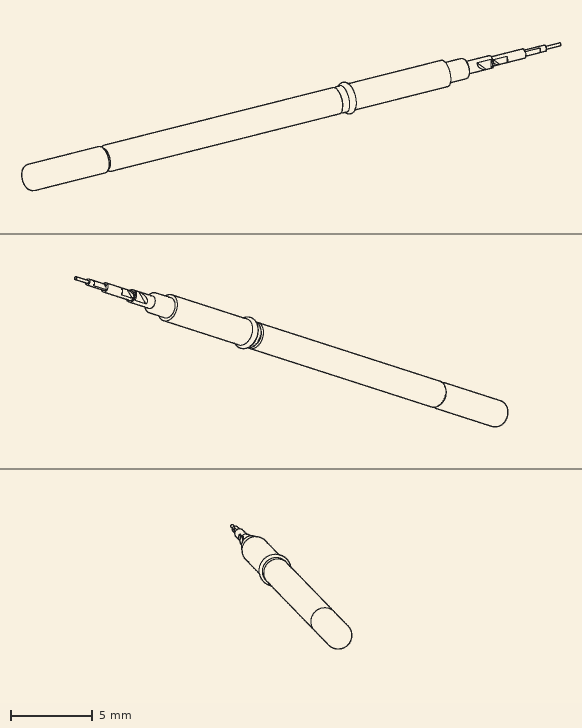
import cadquery as cq
import math

LENGTH = 37.0

BODY_R = 0.84
COLLAR_R = 1.0
FOOT_ROUND = 0.45
LOWER_GROOVE_Y = 5.5
UPPER_GROOVE_Y = 21.57
GROOVE_DEPTH = 0.18
GROOVE_LIP = 0.18
GROOVE_FLOOR = 0.1
COLLAR_BACK = 22.0
COLLAR_FRONT = 22.46
BODY_FRONT = 29.0

NECK_R = 0.65
NECK_FRONT = 30.48
NECK_ROUND = 0.2

COARSE_STEP = (0.40, NECK_FRONT, 32.2)
MIDDLE_STEP = (0.30, COARSE_STEP[2], 34.48)
FINE_STEP = (0.20, MIDDLE_STEP[2], 35.95)
POINT_STEP = (0.10, FINE_STEP[2], LENGTH)
TIP_STEPS = [COARSE_STEP, MIDDLE_STEP, FINE_STEP, POINT_STEP]

FLUTES = [
    (COARSE_STEP, 0.24, 31.45, 32.10),
    (MIDDLE_STEP, 0.20, 32.50, 33.22),
    (FINE_STEP, 0.11, FINE_STEP[1], 35.55),
]
FLUTE_RAMP = 0.15
FLUTE_SKEW = -45.0


def rolled_groove(outline, y, square_back):
    """Continue the outline across a groove with a convex front lip and a square or convex back lip."""
    bulge = math.sqrt(0.5)
    bottom_r = BODY_R - GROOVE_DEPTH
    mid_r = bottom_r + GROOVE_DEPTH * bulge
    mid_offset = GROOVE_LIP * (1 - bulge)
    floor_back = y - GROOVE_FLOOR / 2
    floor_front = y + GROOVE_FLOOR / 2
    if square_back:
        outline = outline.lineTo(BODY_R, floor_back).lineTo(bottom_r, floor_back)
    else:
        outline = (
            outline.lineTo(BODY_R, floor_back - GROOVE_LIP)
            .threePointArc((mid_r, floor_back - mid_offset), (bottom_r, floor_back))
        )
    return (
        outline.lineTo(bottom_r, floor_front)
        .threePointArc((mid_r, floor_front + mid_offset), (BODY_R, floor_front + GROOVE_LIP))
    )


def turned_pin():
    """Revolve the half outline of the barrel, collar, neck and stepped tip about Y."""
    collar_mid = (COLLAR_BACK + COLLAR_FRONT) / 2
    foot_bend = FOOT_ROUND * math.sqrt(0.5)
    foot_centre_r = BODY_R - FOOT_ROUND
    neck_bend = NECK_ROUND * math.sqrt(0.5)
    neck_flat_r = NECK_R - NECK_ROUND
    neck_round_y = NECK_FRONT - NECK_ROUND

    outline = (
        cq.Workplane("ZY")
        .lineTo(foot_centre_r, 0)
        .threePointArc((foot_centre_r + foot_bend, FOOT_ROUND - foot_bend), (BODY_R, FOOT_ROUND))
    )
    outline = rolled_groove(outline, LOWER_GROOVE_Y, square_back=False)
    outline = rolled_groove(outline, UPPER_GROOVE_Y, square_back=True)
    outline = (
        outline.lineTo(BODY_R, COLLAR_BACK)
        .threePointArc((COLLAR_R, collar_mid), (BODY_R, COLLAR_FRONT))
        .lineTo(BODY_R, BODY_FRONT)
        .lineTo(NECK_R, BODY_FRONT)
        .lineTo(NECK_R, neck_round_y)
        .threePointArc((neck_flat_r + neck_bend, neck_round_y + neck_bend), (neck_flat_r, NECK_FRONT))
    )
    for radius, back_y, front_y in TIP_STEPS:
        outline = outline.lineTo(radius, back_y).lineTo(radius, front_y)
    return outline.lineTo(0, LENGTH).close().revolve(360, (0, 0, 0), (0, 1, 0))


def flute_cutter(step, web, back_y, front_y):
    """Flat-floored cutter on the -X side with a leaning, ramped back end and a square front end."""
    radius, step_back_y, _ = step
    reach = 2 * radius
    ramp = FLUTE_RAMP * (reach - web) / (radius - web)
    over_y = front_y + 2 * reach
    trough = (
        cq.Workplane("XY")
        .polyline([(-web, back_y), (-web, over_y), (-reach, over_y), (-reach, back_y - ramp)])
        .close()
        .extrude(over_y - back_y, both=True)
        .rotate((0, back_y, 0), (1, back_y, 0), FLUTE_SKEW)
    )
    keep_back_y = max(step_back_y, back_y - reach)
    keep = cq.Workplane("XY").box(2 * reach, front_y - keep_back_y, 2 * reach)
    return trough.intersect(keep.translate((0, (front_y + keep_back_y) / 2, 0)))


def cut_flutes(pin):
    """Cut each flute twice, half a turn apart about Y."""
    for flute in FLUTES:
        cutter = flute_cutter(*flute)
        pin = pin.cut(cutter).cut(cutter.rotate((0, 0, 0), (0, 1, 0), 180))
    return pin


result = cut_flutes(turned_pin())